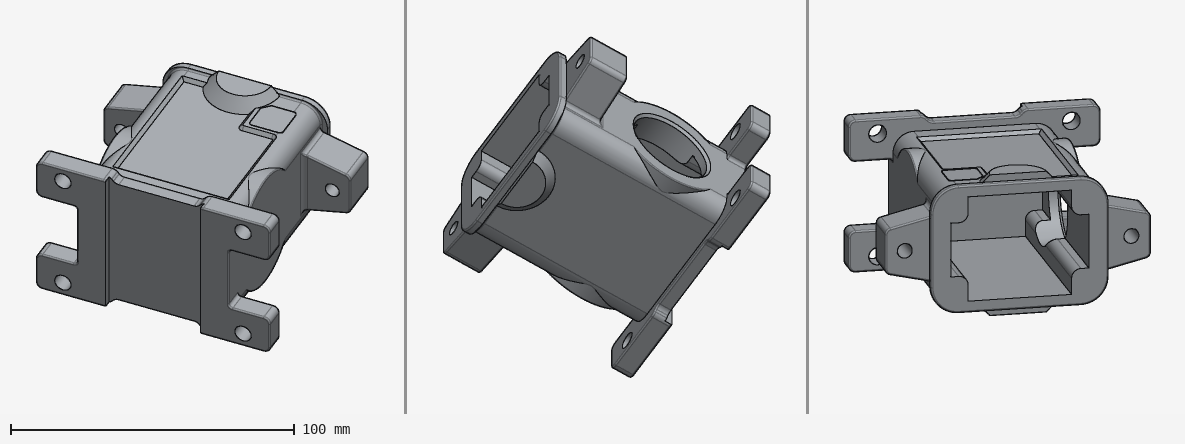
import cadquery as cq


total_depth = 80.0
lug_span = 96.0
edge_radius = 0.6
bevel_angle = 45

margin = 0.1

foot_length = 91.0
foot_height = 56.0
foot_thickness = 8.1
foot_corner_radius = 2.5
foot_hole_diameter = 6.3
foot_hole_x = 35.0
foot_hole_z = 22.6
notch_height = 25.5
notch_corner_radius = 1.4
waist_height = 51.2
waist_half_length = 15.8
waist_radius = 2.9
relief_length = 36.9
relief_depth = 2.9

body_length = 58.9
body_height = 45.1
body_corner_radius = 7.5
rim_length = 64.0
rim_height = 46.7
rim_thickness = 2.8
rim_corner_radius = 9.9
rim_cove_radius = 0.7
rim_back = total_depth - rim_thickness

lug_width = 15.3
lug_tip_half_height = 8.2
lug_root_half_height = 12.5
lug_tip_radius = 2.3
lug_root_radius = 1.8
lug_hole_diameter = 5.4
lug_hole_x = 41.0

entry_y = 31.1
entry_boss_radius = 22.5
entry_boss_depth = 7.7
entry_edge_radius = 0.4
entry_hole_radius = 15.3
entry_chamfer = 1.1

cavity_floor_y = 6.7
cavity_length = 37.4
cavity_height = 38.4
side_pocket_length = 49.9
side_pocket_height = 19.8
pocket_edge_radius = 3.4

dome_height = 25.9
dome_top_radius = 10.2
dome_base_height = 21.1
panel_half_length = 22.7
panel_front_y = 15.2
panel_back_y = 73.2
panel_depth = 1.3
panel_step_x = 8.7
panel_step_y = 56.1
panel_corner_radius = 1.9
panel_step_radius = 0.6
badge_left = 10.5
badge_right = 23.4
badge_front = 57.4
badge_back = 70.6
badge_rise = 0.2
badge_chamfer = 2.9
badge_corner_radius = 1.3


def block(length, height, y_start, y_end):
    """Box centred on X and Z between two Y positions."""
    box = cq.Workplane("XY").box(length, y_end - y_start, height, centered=(True, False, True))
    return box.translate((0, y_start, 0))


def cylinder_along_y(x, z, diameter):
    return cq.Workplane("XZ").center(x, z).circle(diameter / 2).extrude(-total_depth)


def zone(x_range, y_range, z_range, whole=False):
    """Selects what has its centre (or, when whole, its full extent) inside the given ranges."""
    low, high = zip(x_range, y_range, z_range)
    return cq.selectors.BoxSelector(low, high, boundingbox=whole)


def around(value):
    return (value - margin, value + margin)


def both_sides(solid):
    """The solid together with its mirror image across the YZ plane."""
    return solid.union(solid.mirror("YZ"))


def make_foot_plate():
    half_height = foot_height / 2
    waist_step = (foot_height - waist_height) / 2
    shoulder_x = waist_half_length + waist_step
    plate = block(foot_length, foot_height, 0, foot_thickness)
    plate = plate.edges("|Y").fillet(foot_corner_radius)

    waist = (
        cq.Workplane("XZ")
        .moveTo(-shoulder_x, half_height)
        .lineTo(-waist_half_length, waist_height / 2)
        .lineTo(waist_half_length, waist_height / 2)
        .lineTo(shoulder_x, half_height)
        .close()
        .extrude(-foot_thickness)
    )
    plate = plate.cut(waist).cut(waist.mirror("XY"))
    any_y = (-margin, total_depth)
    any_z = (-foot_height, foot_height)
    shoulders = zone((-shoulder_x - margin, shoulder_x + margin), any_y, any_z)
    plate = plate.edges("|Y").edges(shoulders).fillet(waist_radius)

    notch_depth = (foot_length - body_length) / 2
    notch = block(notch_depth, notch_height, 0, foot_thickness)
    notch = notch.edges("|Y and <X").fillet(notch_corner_radius)
    notch = notch.translate(((body_length + notch_depth) / 2, 0, 0))
    plate = plate.cut(both_sides(notch))
    notch_z = (-notch_height / 2 - margin, notch_height / 2 + margin)
    prong_tips = zone(around(-foot_length / 2), any_y, notch_z)
    prong_tips += zone(around(foot_length / 2), any_y, notch_z)
    plate = plate.edges("|Y").edges(prong_tips).fillet(foot_corner_radius)
    plate = plate.faces("<Y or >Y").edges().fillet(edge_radius)

    plate = plate.cut(block(relief_length, foot_height, 0, relief_depth))
    for x in (-foot_hole_x, foot_hole_x):
        for z in (-foot_hole_z, foot_hole_z):
            plate = plate.cut(cylinder_along_y(x, z, foot_hole_diameter))
    return plate


def make_body_block():
    body = block(body_length, body_height, relief_depth, rim_back)
    return body.edges("|Y").fillet(body_corner_radius)


def make_rimmed_body():
    rim = block(rim_length, rim_height, rim_back, total_depth)
    rim = rim.edges("|Y").fillet(rim_corner_radius)
    rim = rim.faces(">Y").edges().fillet(edge_radius)
    body = make_body_block().union(rim)
    body_x = (-body_length / 2 - margin, body_length / 2 + margin)
    body_z = (-body_height / 2 - margin, body_height / 2 + margin)
    junction = zone(body_x, around(rim_back), body_z, whole=True)
    return body.edges(junction).fillet(rim_cove_radius)


def make_lugged_body():
    tip_x = lug_span / 2
    root_x = body_length / 2
    lug = (
        cq.Workplane("XZ", origin=(0, rim_back - lug_width, 0))
        .moveTo(0, lug_root_half_height)
        .lineTo(root_x, lug_root_half_height)
        .lineTo(tip_x, lug_tip_half_height)
        .lineTo(tip_x, -lug_tip_half_height)
        .lineTo(root_x, -lug_root_half_height)
        .lineTo(0, -lug_root_half_height)
        .close()
        .extrude(-lug_width)
    )
    lug = lug.edges("|Y and >X").fillet(lug_tip_radius)
    body = make_body_block().union(both_sides(lug))

    front_y = rim_back - lug_width
    root_y = (front_y - margin, rim_back - margin)
    root_z = (-lug_root_half_height - margin, lug_root_half_height + margin)
    roots = zone(around(-root_x), root_y, root_z) + zone(around(root_x), root_y, root_z)
    body = body.edges(roots).fillet(lug_root_radius)

    flare_x = root_x + lug_root_radius
    lug_x = (flare_x - margin, tip_x + margin)
    mirrored_lug_x = (-tip_x - margin, margin - flare_x)
    outlines = zone(lug_x, around(front_y), root_z, whole=True)
    outlines += zone(mirrored_lug_x, around(front_y), root_z, whole=True)
    body = body.edges(outlines).fillet(edge_radius)
    body = body.faces(">Y").edges().fillet(edge_radius)
    return body.cut(both_sides(cylinder_along_y(lug_hole_x, 0, lug_hole_diameter)))


def make_entry_bosses():
    face_x = body_length / 2
    boss = (
        cq.Workplane("YZ", origin=(face_x - entry_boss_depth, 0, 0))
        .center(entry_y, 0)
        .circle(entry_boss_radius)
        .extrude(entry_boss_depth)
        .faces(">X")
        .edges()
        .fillet(entry_edge_radius)
    )
    return both_sides(boss)


def make_dome():
    """Half of a 45 degree cone frustum standing on the body against the rim."""
    cone_height = dome_height - dome_base_height
    return (
        cq.Workplane("XZ", origin=(0, rim_back, 0))
        .moveTo(0, dome_base_height)
        .lineTo(dome_top_radius + cone_height, dome_base_height)
        .lineTo(dome_top_radius, dome_height)
        .lineTo(0, dome_height)
        .close()
        .revolve(180, (0, 1, 0), (0, 0, 0))
    )


def make_panel_recess():
    """Shallow sloping-walled recess in the top face, stepped around the badge."""
    outline = (
        cq.Workplane("XY", origin=(0, 0, body_height / 2))
        .moveTo(-panel_half_length, panel_front_y)
        .lineTo(panel_half_length, panel_front_y)
        .lineTo(panel_half_length, panel_step_y - panel_corner_radius)
        .radiusArc((panel_half_length - panel_corner_radius, panel_step_y), -panel_corner_radius)
        .lineTo(panel_step_x + panel_step_radius, panel_step_y)
        .radiusArc((panel_step_x, panel_step_y + panel_step_radius), panel_step_radius)
        .lineTo(panel_step_x, panel_back_y)
        .lineTo(-panel_half_length, panel_back_y)
        .close()
    )
    return outline.extrude(-panel_depth, taper=bevel_angle)


def make_badge():
    badge = cq.Workplane("XY").box(
        badge_right - badge_left, badge_back - badge_front, panel_depth + badge_rise, centered=False
    )
    badge = badge.translate((badge_left, badge_front, body_height / 2 - panel_depth))
    badge = badge.edges("|Z and <X and >Y").chamfer(badge_chamfer)
    corner_edges = badge.edges("|Z and (>X or (<X and <Y))")
    return corner_edges.fillet(badge_corner_radius)


def make_cavity():
    core = block(cavity_length, cavity_height, cavity_floor_y, total_depth)
    pockets = block(side_pocket_length, side_pocket_height, cavity_floor_y, total_depth)
    cavity = core.union(pockets)
    junctions = zone(
        (-cavity_length / 2 - margin, cavity_length / 2 + margin),
        (cavity_floor_y, total_depth),
        (-side_pocket_height / 2 - margin, side_pocket_height / 2 + margin),
    )
    return cavity.edges("|Y").edges(junctions).fillet(pocket_edge_radius)


def make_entry_hole():
    hole = cq.Workplane("YZ", origin=(-body_length / 2, entry_y, 0)).circle(entry_hole_radius)
    hole = hole.extrude(body_length / 2)
    mouth = cq.Workplane("YZ", origin=(-body_length / 2, entry_y, 0))
    mouth = mouth.circle(entry_hole_radius + entry_chamfer).extrude(entry_chamfer, taper=bevel_angle)
    return hole.union(mouth)


dome = make_dome()
result = make_rimmed_body().union(make_lugged_body()).union(make_entry_bosses()).union(make_foot_plate())
result = result.cut(make_panel_recess()).union(make_badge()).union(dome).union(dome.mirror("XY"))
result = result.cut(make_cavity()).cut(make_entry_hole())